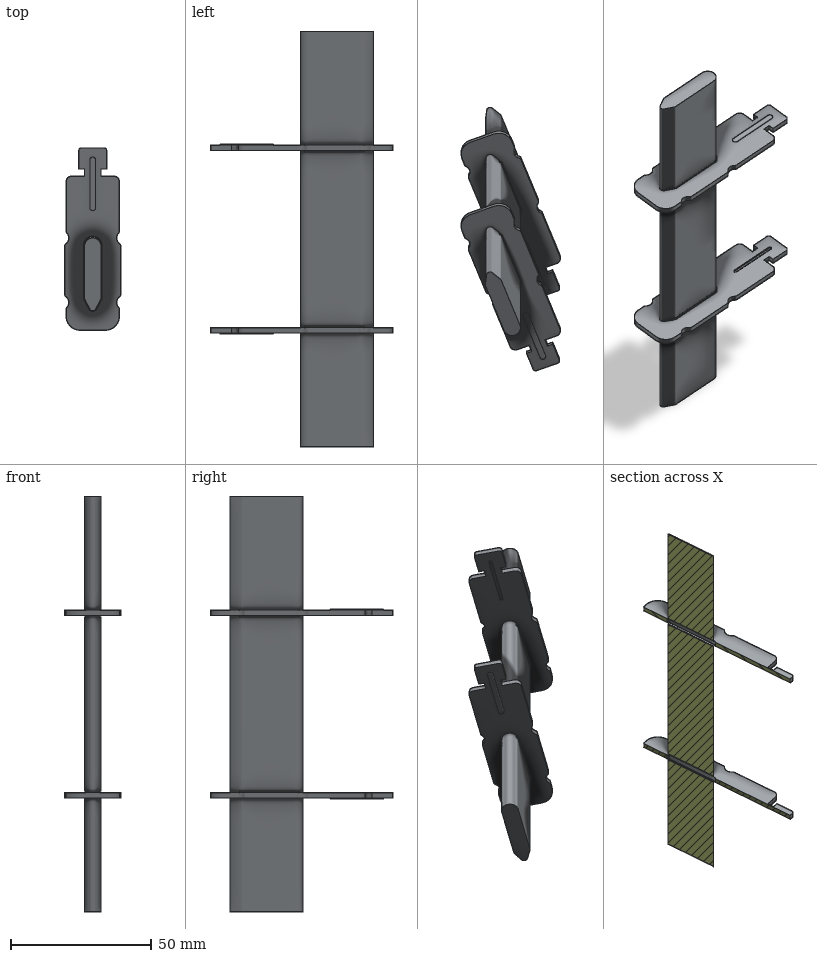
import cadquery as cq
plate_length = 65.0
plate_thickness = 2.0
plate_spacing = 65.0
body_width = 19.0
waist_width = 20.0
tail_radius = 5.0
shoulder_radius = 2.0
head_width = 10.0
head_length = 7.55
head_radius = 1.0
neck_width = 6.0
neck_length = 2.5
plate_inner_z = (plate_spacing - plate_thickness) / 2
plate_outer_z = plate_inner_z + plate_thickness
front_y = -plate_length / 2
rear_y = plate_length / 2
shoulder_y = rear_y - head_length - neck_length

notch_radius = 2.5
notch_floor_width = 17.1
notch_lip_radius = 1.0
rear_notch_y = 0.4
notch_spacing = 23.0
front_notch_y = rear_notch_y - notch_spacing

bar_height = 148.0
bar_width = 6.0
bar_rear_y = 0.5
bar_side_end_y = -21.35
point_length = 5.7
tip_radius = 1.25
bar_corner_radius = 1.3

opening_clearance = 0.25
opening_shift = 0.2

groove_floor_width = 5.1
groove_height = 2.5

rib_width = 2.1
rib_height = 0.3
rib_edge_radius = 0.25
rib_front_y = 10.1
rib_rear_y = 29.2
recess_inset = 0.5
recess_depth = 0.5
rib_length = rib_rear_y - rib_front_y
rib_middle_y = (rib_front_y + rib_rear_y) / 2
recess_width = rib_width - 2 * recess_inset
recess_length = rib_length - 2 * recess_inset


def fillet_near(shape, x, y, reach, radius):
    """Fillet the vertical edges within reach of (x, y)."""
    bottom = shape.val().BoundingBox().zmin - reach
    top = shape.val().BoundingBox().zmax + reach
    zone = cq.selectors.BoxSelector((x - reach, y - reach, bottom), (x + reach, y + reach, top))
    return shape.edges("|Z").edges(zone).fillet(radius)


def bar_blank(height):
    """Bar along Z from z = 0: round at the rear, pointed at the front."""
    half = bar_width / 2
    round_start_y = bar_rear_y - half
    point_y = bar_side_end_y - point_length
    blank = (
        cq.Workplane("XY")
        .moveTo(-half, round_start_y)
        .threePointArc((0, bar_rear_y), (half, round_start_y))
        .lineTo(half, bar_side_end_y)
        .lineTo(0, point_y)
        .lineTo(-half, bar_side_end_y)
        .close()
        .extrude(height)
    )
    blank = fillet_near(blank, 0, point_y, half / 2, tip_radius)
    for x in (-half, half):
        blank = fillet_near(blank, x, bar_side_end_y, half / 2, bar_corner_radius)
    return blank


def block(width, y_start, y_end):
    """Plate-thick block centred on X, standing on z = 0."""
    return (
        cq.Workplane("XY")
        .rect(width, y_end - y_start)
        .extrude(plate_thickness)
        .translate((0, (y_start + y_end) / 2, 0))
    )


def plate_blank():
    """Plate outline with notches and a T-shaped head, standing on z = 0."""
    body = block(body_width, front_y, shoulder_y)
    body = body.edges("|Z and <Y").fillet(tail_radius)
    body = body.edges("|Z and >Y").fillet(shoulder_radius)
    waist = block(waist_width, front_notch_y, rear_notch_y)
    neck = block(neck_width, shoulder_y, rear_y - head_length)
    head = block(head_width, rear_y - head_length, rear_y).edges("|Z and >Y").fillet(head_radius)
    notch_x = notch_floor_width / 2 + notch_radius
    notch_centres = [(side * notch_x, y) for side in (-1, 1) for y in (front_notch_y, rear_notch_y)]
    notches = cq.Workplane("XY").pushPoints(notch_centres).circle(notch_radius).extrude(plate_thickness)
    blank = body.union(waist).cut(notches)
    for x, y in notch_centres:
        blank = fillet_near(blank, x, y, notch_radius, notch_lip_radius)
    return blank.union(neck).union(head)


def strip(length, width, height):
    """Round-ended strip along Y, standing on z = 0."""
    return cq.Workplane("XY").center(0, rib_middle_y).slot2D(length, width, 90).extrude(height)


def bar_opening():
    """Cutter for the opening that the bar passes through."""
    section = bar_blank(plate_thickness).faces("<Z").wires()
    return (
        cq.Workplane("XY")
        .add(section.vals())
        .toPending()
        .offset2D(opening_clearance)
        .extrude(plate_thickness)
        .translate((0, opening_shift, 0))
    )


def upper_plate():
    """Plate with its inner face down; the rib is on top and the recess below."""
    rib = strip(rib_length, rib_width, rib_height).faces(">Z").edges().fillet(rib_edge_radius)
    rib = rib.translate((0, 0, plate_thickness))
    recess = strip(recess_length, recess_width, recess_depth)
    blank = plate_blank().cut(bar_opening()).union(rib).cut(recess)
    return blank.translate((0, 0, plate_inner_z))


def groove_pair():
    """Cutter for the two grooves at the upper plate."""
    surround = cq.Workplane("XY").box(2 * bar_width, 2 * plate_length, groove_height)
    core = cq.Workplane("XY").box(groove_floor_width, 2 * plate_length, groove_height)
    return surround.cut(core).translate((0, 0, plate_outer_z - groove_height / 2))


def mirrored(shape):
    """The same shape at the other plate."""
    return shape.mirror("XY")


grooves = groove_pair()
bar = bar_blank(bar_height).translate((0, 0, -bar_height / 2))
bar = bar.cut(grooves).cut(mirrored(grooves))
first_plate = upper_plate()
plates = [first_plate, mirrored(first_plate)]

result = cq.Compound.makeCompound([bar.val(), *[plate.val() for plate in plates]])